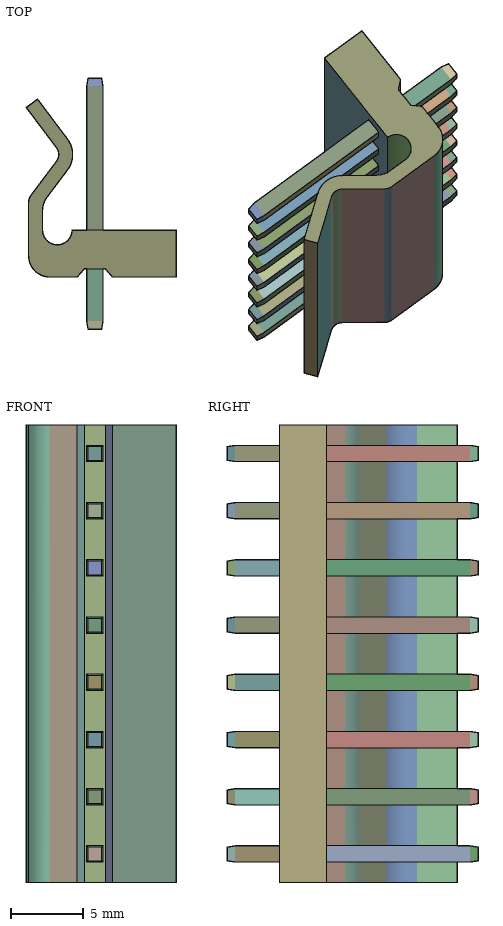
import cadquery as cq
import math

length = 31.68
base_right = 10.23
base_height = 3.25
corner_radius = 1.5

latch_thickness = 0.98
lean_angle = math.radians(36.9)
lower_bend_y = 5.45
upper_bend_y = 8.5
tip_x = -0.15
lower_outer_radius = 0.8
lower_inner_radius = 1.58
upper_inner_radius = 0.8
upper_outer_radius = upper_inner_radius + latch_thickness

relief_radius = 1.0

groove_depth = 0.57
groove_mouth = 2.45
groove_floor = 1.45

pin_count = 8
pin_pitch = length / pin_count
pin_x = 4.6
pin_width = 1.15
pin_tip_width = 0.95
pin_taper = 0.57
pin_bottom = -3.6
pin_span = 17.4


def make_base():
    """Base with the lower end of the wall and the half-round relief beside it."""
    relief_right = latch_thickness + 2 * relief_radius
    return (
        cq.Workplane("XY")
        .moveTo(0, corner_radius)
        .lineTo(0, base_height)
        .lineTo(latch_thickness, base_height)
        .threePointArc(
            (latch_thickness + relief_radius, base_height - relief_radius),
            (relief_right, base_height),
        )
        .lineTo(base_right, base_height)
        .lineTo(base_right, 0)
        .lineTo(corner_radius, 0)
        .radiusArc((0, corner_radius), corner_radius)
        .close()
        .extrude(length)
    )


def make_latch():
    """Bent latch of constant thickness, standing on the wall side of the base."""
    slope = math.tan(lean_angle)
    across_x = latch_thickness * math.cos(lean_angle)
    across_y = latch_thickness * math.sin(lean_angle)

    outer_lower = (0, lower_bend_y)
    outer_upper = ((upper_bend_y - lower_bend_y) * slope, upper_bend_y)
    outer_tip = (tip_x, upper_bend_y + (outer_upper[0] - tip_x) / slope)
    inner_tip = (tip_x + across_x, outer_tip[1] + across_y)
    inner_upper = (outer_upper[0] + latch_thickness / math.cos(lean_angle), upper_bend_y)
    inner_lower = (latch_thickness, lower_bend_y - latch_thickness * math.tan(lean_angle / 2))

    latch = (
        cq.Workplane("XY")
        .polyline([
            (0, base_height),
            outer_lower,
            outer_upper,
            outer_tip,
            inner_tip,
            inner_upper,
            inner_lower,
            (latch_thickness, base_height),
        ])
        .close()
        .extrude(length)
    )
    bends = [
        (outer_lower, lower_outer_radius),
        (inner_lower, lower_inner_radius),
        (outer_upper, upper_inner_radius),
        (inner_upper, upper_outer_radius),
    ]
    for (x, y), radius in bends:
        edge = cq.NearestToPointSelector((x, y, length / 2))
        latch = latch.edges("|Z").edges(edge).fillet(radius)
    return latch


def make_groove():
    """Cutter for the flared groove."""
    return (
        cq.Workplane("XY")
        .polyline([
            (pin_x - groove_mouth / 2, 0),
            (pin_x - groove_floor / 2, groove_depth),
            (pin_x + groove_floor / 2, groove_depth),
            (pin_x + groove_mouth / 2, 0),
        ])
        .close()
        .extrude(length)
    )


def make_pin(z):
    """Square pin along Y, tapered on all four sides at both ends."""
    taper_angle = math.degrees(math.atan((pin_width - pin_tip_width) / 2 / pin_taper))
    shank = cq.Workplane("XY").box(pin_width, pin_span - 2 * pin_taper, pin_width)
    pin = shank
    for end in ("<Y", ">Y"):
        tip = shank.faces(end).workplane().rect(pin_width, pin_width)
        pin = pin.union(tip.extrude(pin_taper, taper=taper_angle, combine=False))
    return pin.translate((pin_x, pin_bottom + pin_span / 2, z))


result = make_base().union(make_latch()).cut(make_groove())
for index in range(pin_count):
    result = result.union(make_pin((index + 0.5) * pin_pitch))